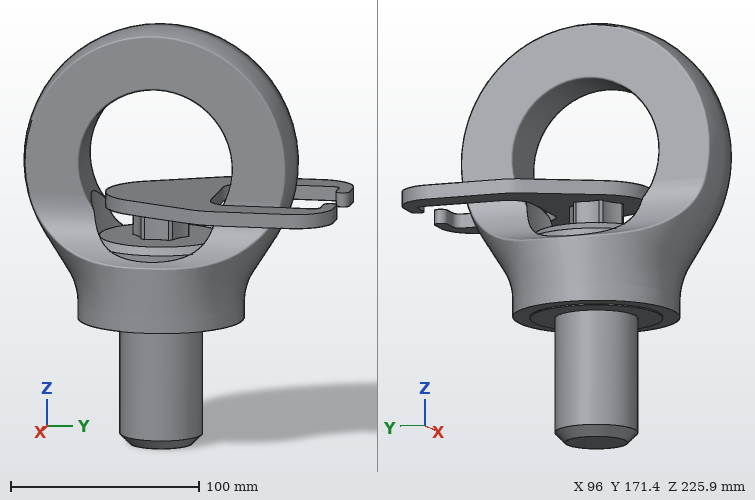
import cadquery as cq
import math

eye_height = 84.7
eye_radius = 73.2
hole_radius = 41.3
eye_half_width = 16.7
edge_round = 1.02

collar_half = 44.0
corner_radius = 43.0
flare_start = 8.8
flare_radius = 31.0

flank_top = 67.3
flank_radius = 32.5
flank_angle = 75.0

bolt_diameter = 44.0
bolt_radius = bolt_diameter / 2
bolt_bottom = -68.0
bolt_chamfer = 5.5
seat_radius = 35.2
seat_drop = 0.7
head_radius = 37.3
head_shoulder = 40.7
head_top = 44.5
head_chamfer = 4.5
stem_corners = 6
stem_radius = 15.0
stem_corner_width = 2.3
stem_hollow_radius = 12.5

plate_bottom = 60.3
plate_thickness = 7.7
plate_width = 96.0
plate_half_width = plate_width / 2
plate_back = 98.2
plate_nose_radius = 29.5
nose_angle = 26.4
shoulder_radius = 26.2
outer_corner_radius = 20.0
slot_half_width = 30.3
slot_front = 30.0
slot_corner_radius = 13.0
finger_width = 7.2
finger_corner_radius = 4.0
mouth_half_width = 14.5

tolerance = 0.002

flare_center_y = collar_half + flare_radius
center_distance = math.hypot(flare_center_y, eye_height - flare_start)
center_angle = math.degrees(math.atan2(eye_height - flare_start, flare_center_y))
radius_sum = eye_radius + flare_radius
flare_angle = center_angle - math.degrees(math.acos(radius_sum / center_distance))
neck_length = math.sqrt(center_distance**2 - radius_sum**2)

flank_center_x = eye_half_width + flank_radius
flank_end_x = flank_center_x - flank_radius * math.cos(math.radians(flank_angle))
flank_end_z = flank_top - flank_radius * math.sin(math.radians(flank_angle))


def turned(u, v, center_u, center_v, degrees):
    """Point turned clockwise by an angle about a center, both given in the same plane."""
    a = math.radians(degrees)
    du = u - center_u
    dv = v - center_v
    return (center_u + du * math.cos(a) + dv * math.sin(a), center_v - du * math.sin(a) + dv * math.cos(a))


def half_section(plane, depth):
    """Collar section from its tip on the local +Y axis back by a depth."""
    flat = collar_half - corner_radius
    diagonal = flat + corner_radius * math.sqrt(0.5)
    return (
        cq.Workplane(plane)
        .moveTo(-collar_half, collar_half - depth)
        .lineTo(-collar_half, flat)
        .threePointArc((-diagonal, diagonal), (-flat, collar_half))
        .lineTo(flat, collar_half)
        .threePointArc((diagonal, diagonal), (collar_half, flat))
        .lineTo(collar_half, collar_half - depth)
        .close()
    )


def neck_half():
    """+Y half of the neck: the collar section turned through the flare, then run straight to the eye."""
    base_plane = cq.Plane(origin=(0, 0, flare_start), xDir=(1, 0, 0), normal=(0, 0, 1))
    flare = half_section(base_plane, collar_half).revolve(
        flare_angle, (0, flare_center_y, 0), (-1, flare_center_y, 0)
    )
    origin_y, origin_z = turned(0, flare_start, flare_center_y, flare_start, flare_angle)
    a = math.radians(flare_angle)
    tilted_plane = cq.Plane(
        origin=(0, origin_y, origin_z), xDir=(1, 0, 0), normal=(0, math.sin(a), math.cos(a))
    )
    return flare.union(half_section(tilted_plane, collar_half).extrude(neck_length))


def neck_core():
    """Wedge that fills the space between the two neck halves."""
    end_y, end_z = turned(0, flare_start, flare_center_y, flare_start, flare_angle)
    mid = turned(0, flare_start, flare_center_y, flare_start, flare_angle / 2)
    return (
        cq.Workplane("YZ")
        .moveTo(0, flare_start)
        .threePointArc(mid, (end_y, end_z))
        .lineTo(-end_y, end_z)
        .threePointArc((-mid[0], mid[1]), (0, flare_start))
        .close()
        .extrude(collar_half, both=True)
    )


def collar():
    """Round collar below the flare, with narrow flats where the corner arcs meet."""
    blank = cq.Workplane("XY").rect(2 * collar_half, 2 * collar_half).extrude(flare_start)
    return blank.edges("|Z").fillet(corner_radius)


def crowned_disc():
    """The collar section turned once about the eye axis, so the eye rim has the same crown."""
    crown_plane = cq.Plane(
        origin=(0, 0, eye_height + eye_radius - collar_half), xDir=(1, 0, 0), normal=(0, -1, 0)
    )
    axis_y = collar_half - eye_radius
    return half_section(crown_plane, eye_radius).revolve(360, (0, axis_y, 0), (1, axis_y, 0))


def flank_envelope():
    """Prism along Y whose XZ outline is the eye width on top and the collar width below."""
    mid_angle = math.radians(flank_angle / 2)
    mid_x = flank_center_x - flank_radius * math.cos(mid_angle)
    mid_z = flank_top - flank_radius * math.sin(mid_angle)
    foot_z = flank_end_z - (collar_half - flank_end_x) / math.tan(math.radians(flank_angle))
    top = eye_height + eye_radius
    return (
        cq.Workplane("XZ")
        .moveTo(-collar_half, 0)
        .lineTo(collar_half, 0)
        .lineTo(collar_half, foot_z)
        .lineTo(flank_end_x, flank_end_z)
        .threePointArc((mid_x, mid_z), (eye_half_width, flank_top))
        .lineTo(eye_half_width, top)
        .lineTo(-eye_half_width, top)
        .lineTo(-eye_half_width, flank_top)
        .threePointArc((-mid_x, mid_z), (-flank_end_x, flank_end_z))
        .lineTo(-collar_half, foot_z)
        .close()
        .extrude(2 * eye_radius, both=True)
    )


def flank_half_width(z):
    """Half-width in X between the two flank surfaces at a height."""
    if z >= flank_top:
        return eye_half_width
    if z > flank_end_z:
        return flank_center_x - math.sqrt(flank_radius**2 - (flank_top - z) ** 2)
    return flank_end_x + (flank_end_z - z) * math.tan(math.radians(flank_angle))


def is_flank_border(edge):
    """True for an edge that borders a flank, not for the fold lines within the flank."""
    points = [edge.positionAt(t) for t in (0, 0.5, 1)]
    on_flank = all(abs(abs(p.x) - flank_half_width(p.z)) < tolerance for p in points)
    is_fold = edge.geomType() == "LINE" and abs(points[0].x) < collar_half - tolerance
    return on_flank and not is_fold


def eye_body():
    """Collar, neck and eye in one body, thinned by the flanks, pierced and rounded along the flanks."""
    half = neck_half()
    body = collar().union(half).union(half.mirror("XZ")).union(neck_core()).union(crowned_disc())
    body = body.intersect(flank_envelope())
    hole = cq.Workplane("YZ").center(0, eye_height).circle(hole_radius).extrude(collar_half, both=True)
    body = body.cut(hole)
    borders = [edge for edge in body.edges().vals() if is_flank_border(edge)]
    return body.newObject(borders).fillet(edge_round)


def bolt():
    """Shank, seat and chamfered head as one turned profile."""
    return (
        cq.Workplane("XZ")
        .moveTo(0, bolt_bottom)
        .lineTo(bolt_radius - bolt_chamfer, bolt_bottom)
        .lineTo(bolt_radius, bolt_bottom + bolt_chamfer)
        .lineTo(bolt_radius, -seat_drop)
        .lineTo(seat_radius, -seat_drop)
        .lineTo(seat_radius, 0)
        .lineTo(head_radius, 0)
        .lineTo(head_radius, head_shoulder)
        .lineTo(head_radius - head_chamfer, head_top)
        .lineTo(0, head_top)
        .close()
        .revolve(360, (0, 0, 0), (0, 1, 0))
    )


def stem():
    """Six-cornered drive between the bolt head and the key plate, with flat corners and hollow sides."""
    outline = cq.Workplane("XY").workplane(offset=head_top).moveTo(stem_corner_width / 2, stem_radius)
    step = 360 / stem_corners
    for corner in range(stem_corners):
        hollow_angle = math.radians(90 - step * (corner + 0.5))
        hollow = (stem_hollow_radius * math.cos(hollow_angle), stem_hollow_radius * math.sin(hollow_angle))
        corner_start = turned(-stem_corner_width / 2, stem_radius, 0, 0, step * (corner + 1))
        corner_end = turned(stem_corner_width / 2, stem_radius, 0, 0, step * (corner + 1))
        outline = outline.threePointArc(hollow, corner_start).lineTo(*corner_end)
    return outline.close().extrude(plate_bottom - head_top)


def key_plate():
    """Flat key with a round nose and a slot whose mouth is narrowed by two round-ended fingers."""
    a = math.radians(nose_angle)
    nose_x = plate_nose_radius * math.cos(a)
    nose_y = -plate_nose_radius * math.sin(a)
    run = (plate_half_width - nose_x) / math.tan(a)
    shoulder_y = nose_y + run
    outline = (
        cq.Workplane("XY")
        .workplane(offset=plate_bottom)
        .moveTo(-nose_x, nose_y)
        .threePointArc((0, -plate_nose_radius), (nose_x, nose_y))
        .lineTo(plate_half_width, shoulder_y)
        .lineTo(plate_half_width, plate_back)
        .lineTo(-plate_half_width, plate_back)
        .lineTo(-plate_half_width, shoulder_y)
        .close()
        .extrude(plate_thickness)
    )
    outline = outline.edges("|Z and >Y").fillet(outer_corner_radius)
    for side in (-1, 1):
        corner = cq.selectors.NearestToPointSelector((side * plate_half_width, shoulder_y, plate_bottom))
        outline = outline.edges("|Z").edges(corner).fillet(shoulder_radius)

    slot_back = plate_back - finger_width
    slot = (
        cq.Workplane("XY")
        .workplane(offset=plate_bottom)
        .center(0, (slot_front + slot_back) / 2)
        .rect(2 * slot_half_width, slot_back - slot_front)
        .extrude(plate_thickness)
        .edges("|Z and <Y")
        .fillet(slot_corner_radius)
        .edges("|Z and >Y")
        .fillet(finger_corner_radius)
    )
    finger_round = finger_width / 2
    mouth = (
        cq.Workplane("XY")
        .workplane(offset=plate_bottom)
        .center(0, plate_back - finger_round)
        .rect(2 * (mouth_half_width + finger_round), finger_width)
        .extrude(plate_thickness)
    )
    finger_ends = (
        cq.Workplane("XY")
        .workplane(offset=plate_bottom)
        .pushPoints([(s * (mouth_half_width + finger_round), plate_back - finger_round) for s in (-1, 1)])
        .circle(finger_round)
        .extrude(plate_thickness)
    )
    return outline.cut(slot).cut(mouth).union(finger_ends)


head_pocket = (
    cq.Workplane("XY").workplane(offset=head_shoulder).circle(head_radius).extrude(eye_height - head_shoulder)
)
result = eye_body().cut(head_pocket).union(bolt()).union(stem()).union(key_plate())